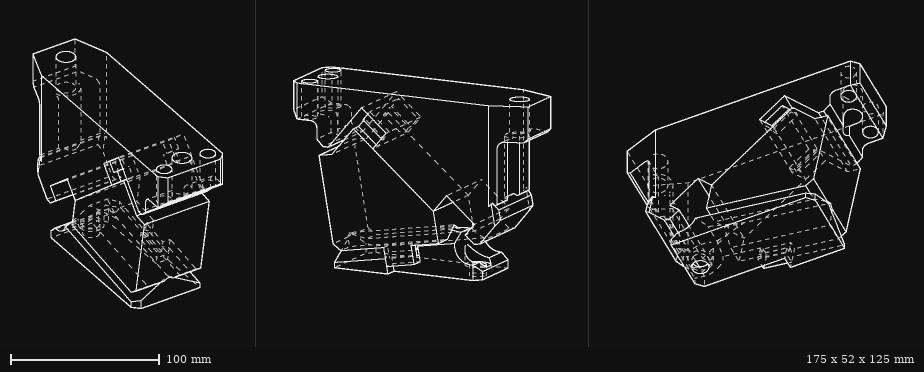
import cadquery as cq
import math

LENGTH = 175.0
WIDTH = 52.0
HEIGHT = 125.0
HALF_WIDTH = WIDTH / 2

TRAVEL_ANGLE = 40.0
RAMP_ANGLE = -10.0
RIDGE_ANGLE = 30.0

SEAT_START = (67.0, 47.2)
SEAT_LENGTH = 59.7
SLOT_DEPTH = 15.5
NOTCH_END = 83.8
SOCKET_LENGTH = 27.3
CLAW_DROP = 10.7
CLAW_REACH = 39.0
CLAW_CHAMFER = (2.6, 3.3)
FLANGE_BOTTOM = 100.0
FLANGE_CHAMFER_LEFT = 2.8
CORNER_CHAMFER = 4.9
INNER_FILLET = 4.4
LEG_RIGHT = 155.0
LEG_BOTTOM = 83.0
LEG_CHAMFER = 4.7
NECK_LEFT = 19.8
NECK_BOTTOM = 56.7
NECK_ROOT_Z = 55.8
TAPER_LENGTH = 25.2
TAPER_DEPTH = 9.1
NOSE_BOTTOM = (17.2, 46.2)
NOSE_TOP = (18.4, 53.2)
NOSE_PEAK_X = 22.8
NOSE_PEAK_Z = NOSE_TOP[1] + NOSE_PEAK_X - NOSE_TOP[0]
NOSE_HEEL_Z = NOSE_PEAK_Z - (TAPER_LENGTH - NOSE_PEAK_X)
NOSE_CHAMFER = 1.8
NOSE_CHAMFER_LENGTH = 4.2
BOLT_DIAMETER = 13.3
LEFT_BOLT_X = 15.0
RIGHT_BOLT_X = 159.8
BOLT_RELIEF_DIAMETER = 20.1
DOWEL_DIAMETER = 10.5
DOWEL_X = 164.8
DOWEL_Y = 17.5

SLIDE_FRONT = 22.2
SLIDE_END = 78.8
SLIDE_LENGTH = 80.0
SLIDE_HEIGHT = 66.2
SLIDE_CHAMFER = 5.0
TAB_NECK_HEIGHT = 7.5
TAB_NECK_INSET = 7.5
TAB_HEAD_INSET = 4.7

RIDGE_EDGE = -7.7
RIDGE_APEX = RIDGE_EDGE + HALF_WIDTH * math.tan(math.radians(RIDGE_ANGLE))
KEEPER_START = 21.0
KEEPER_END = 42.0
KEEPER_BOTTOM = -13.1
RIB_BOTTOM = -8.5
RIB_Y = 20.1
RIB_TOP = RIDGE_APEX - RIB_Y * math.tan(math.radians(RIDGE_ANGLE))

BASE_LEFT = 37.0
BASE_RIGHT = 141.8
BASE_TOP = 30.0
BASE_STEP_X = 55.6
BASE_STEP_Z = 10.7
BASE_STEP_RADIUS = 12.5
RELIEF_Y = 16.8
BASE_SCREW_X = 46.5
BASE_SCREW_DIAMETER = 11.5
BASE_BORE_DIAMETER = 17.5
BASE_BORE_FLOOR = 7.0

OVERSHOOT = 17.5
RAMP_TOOL_START = -35.0
RAMP_TOOL_END = SLIDE_LENGTH + OVERSHOOT


def frame_point(origin, angle, along, up):
    """XZ point at (along, up) in a frame turned by angle degrees about the Y axis."""
    cos_a = math.cos(math.radians(angle))
    sin_a = math.sin(math.radians(angle))
    return origin[0] + along * cos_a - up * sin_a, origin[1] + along * sin_a + up * cos_a


def on_travel(along, up):
    """XZ point along the slide's travel from the seat's lower end, and above the seat."""
    return frame_point(SEAT_START, TRAVEL_ANGLE, along, up)


RAMP_START = frame_point(SEAT_START, RAMP_ANGLE, 0, -SLIDE_FRONT)


def on_ramp(along, up):
    """XZ point along the ramp from the slide's front, and above its underside."""
    return frame_point(RAMP_START, RAMP_ANGLE, along, up)


def prism(points, y_low=-HALF_WIDTH, y_high=HALF_WIDTH):
    """XZ outline extruded between two Y positions."""
    return cq.Workplane("XZ", origin=(0, y_high, 0)).polyline(points).close().extrude(y_high - y_low)


def ramp_block(start, end, low, high, y_low, y_high):
    """Block lined up with the ramp, given by its limits along it, above it and in Y."""
    corners = [(start, low), (end, low), (end, high), (start, high)]
    return prism([on_ramp(*corner) for corner in corners], y_low, y_high)


def plan_section(origin, angle, up):
    """Workplane along the frame direction: local x runs along it, local y along +Y, extrusion up."""
    x, z = frame_point(origin, angle, 0, up)
    turn = math.radians(angle)
    direction = (math.cos(turn), 0, math.sin(turn))
    normal = (-math.sin(turn), 0, math.cos(turn))
    return cq.Workplane(cq.Plane(origin=(x, 0, z), xDir=direction, normal=normal))


def cross_section(origin, angle, along):
    """Workplane across the frame direction: local x runs along +Y, local y runs up."""
    x, z = frame_point(origin, angle, along, 0)
    direction = (math.cos(math.radians(angle)), 0, math.sin(math.radians(angle)))
    return cq.Workplane(cq.Plane(origin=(x, 0, z), xDir=(0, 1, 0), normal=direction))


def upright_cylinder(x, y, diameter, z_low, z_high):
    return cq.Workplane("XY", origin=(x, y, z_low)).circle(diameter / 2).extrude(z_high - z_low)


def ridge_prism():
    """Triangular ridge along the ramp, shared by the base and the groove under the slide."""
    outline = [(-HALF_WIDTH, RIDGE_EDGE), (0, RIDGE_APEX), (HALF_WIDTH, RIDGE_EDGE)]
    plane = cross_section(RAMP_START, RAMP_ANGLE, RAMP_TOOL_START)
    return plane.polyline(outline).close().extrude(RAMP_TOOL_END - RAMP_TOOL_START)


def holder_body():
    """Flange and body: side outline, trimmed to the tapered plan."""
    leg_left = on_travel(NOTCH_END, 0)
    leg_slope = math.tan(math.radians(90 - TRAVEL_ANGLE))
    leg_left_x = leg_left[0] + (leg_left[1] - LEG_BOTTOM) / leg_slope
    fillet_mid = INNER_FILLET * (1 - math.sqrt(0.5))
    outline = (
        cq.Workplane("XZ", origin=(0, HALF_WIDTH, 0))
        .moveTo(0, HEIGHT)
        .lineTo(LENGTH, HEIGHT)
        .lineTo(LENGTH, FLANGE_BOTTOM + CORNER_CHAMFER)
        .lineTo(LENGTH - CORNER_CHAMFER, FLANGE_BOTTOM)
        .lineTo(LEG_RIGHT + INNER_FILLET, FLANGE_BOTTOM)
        .threePointArc(
            (LEG_RIGHT + fillet_mid, FLANGE_BOTTOM - fillet_mid),
            (LEG_RIGHT, FLANGE_BOTTOM - INNER_FILLET),
        )
        .lineTo(LEG_RIGHT, LEG_BOTTOM + LEG_CHAMFER)
        .lineTo(LEG_RIGHT - LEG_CHAMFER, LEG_BOTTOM)
        .lineTo(leg_left_x, LEG_BOTTOM)
        .lineTo(*on_travel(NOTCH_END, SLOT_DEPTH))
        .lineTo(*on_travel(SEAT_LENGTH, SLOT_DEPTH))
        .lineTo(*on_travel(SEAT_LENGTH, 0))
        .lineTo(*on_travel(0, 0))
        .lineTo(*on_travel(0, SLOT_DEPTH))
        .lineTo(TAPER_LENGTH, NOSE_HEEL_Z)
        .lineTo(NOSE_PEAK_X - (NOSE_PEAK_Z - NECK_ROOT_Z), NECK_ROOT_Z)
        .lineTo(NECK_LEFT, NECK_BOTTOM)
        .lineTo(NECK_LEFT, FLANGE_BOTTOM - INNER_FILLET)
        .threePointArc(
            (NECK_LEFT - fillet_mid, FLANGE_BOTTOM - fillet_mid),
            (NECK_LEFT - INNER_FILLET, FLANGE_BOTTOM),
        )
        .lineTo(FLANGE_CHAMFER_LEFT, FLANGE_BOTTOM)
        .lineTo(0, FLANGE_BOTTOM + FLANGE_CHAMFER_LEFT)
        .close()
        .extrude(WIDTH)
    )
    plan = [
        (0, HALF_WIDTH - TAPER_DEPTH),
        (TAPER_LENGTH, HALF_WIDTH),
        (LENGTH - CORNER_CHAMFER, HALF_WIDTH),
        (LENGTH, HALF_WIDTH - CORNER_CHAMFER),
    ]
    plan += [(x, -y) for x, y in reversed(plan)]
    return outline.intersect(cq.Workplane("XY").polyline(plan).close().extrude(HEIGHT))


def holder_claw():
    """Claw under the holder with its socket lip, ridge-shaped shoulder and chamfered nose."""
    lip = SLOT_DEPTH - CLAW_DROP
    claw = prism([
        NOSE_BOTTOM,
        NOSE_TOP,
        (NOSE_PEAK_X, NOSE_PEAK_Z),
        (TAPER_LENGTH, NOSE_HEEL_Z),
        on_travel(0, SLOT_DEPTH),
        on_travel(-SOCKET_LENGTH, SLOT_DEPTH),
        on_travel(-SOCKET_LENGTH, lip),
        on_travel(CLAW_CHAMFER[0] - CLAW_REACH, lip),
        on_travel(-CLAW_REACH, lip + CLAW_CHAMFER[1]),
    ])
    lean = math.degrees(math.atan2(NOSE_TOP[0] - NOSE_BOTTOM[0], NOSE_TOP[1] - NOSE_BOTTOM[1]))
    plane = plan_section(NOSE_BOTTOM, -lean, -OVERSHOOT)
    cutter_height = NOSE_PEAK_Z - NOSE_BOTTOM[1] + 2 * OVERSHOOT
    for side in (-1, 1):
        corner = [
            (0, side * (HALF_WIDTH - NOSE_CHAMFER)),
            (NOSE_CHAMFER_LENGTH, side * HALF_WIDTH),
            (0, side * HALF_WIDTH),
        ]
        claw = claw.cut(plane.polyline(corner).close().extrude(cutter_height))
    return claw


def make_holder():
    """Holder with bolt and dowel holes, and clearance for the bolt on the left."""
    body = holder_body()
    drill_end = FLANGE_BOTTOM - OVERSHOOT
    for bolt_x in (LEFT_BOLT_X, RIGHT_BOLT_X):
        body = body.cut(upright_cylinder(bolt_x, 0, BOLT_DIAMETER, drill_end, HEIGHT))
    for dowel_y in (-DOWEL_Y, DOWEL_Y):
        body = body.cut(upright_cylinder(DOWEL_X, dowel_y, DOWEL_DIAMETER, drill_end, HEIGHT))
    body = body.cut(upright_cylinder(LEFT_BOLT_X, 0, BOLT_RELIEF_DIAMETER, 0, FLANGE_BOTTOM))
    return body.union(holder_claw())


def slide_tab():
    """T-shaped tab that stands in the holder's notch."""
    neck = HALF_WIDTH - TAB_NECK_INSET
    head = HALF_WIDTH - TAB_HEAD_INSET
    half = [(neck, 0), (neck, TAB_NECK_HEIGHT), (head, TAB_NECK_HEIGHT), (head, SLOT_DEPTH)]
    outline = half + [(-y, up) for y, up in reversed(half)]
    plane = cross_section(SEAT_START, TRAVEL_ANGLE, SEAT_LENGTH)
    return plane.polyline(outline).close().extrude(SLIDE_END - SEAT_LENGTH)


def keeper():
    """Hook on the +Y side that reaches under the base's rib."""
    hook = ramp_block(KEEPER_START, KEEPER_END, KEEPER_BOTTOM, 0, RELIEF_Y, HALF_WIDTH)
    rib_slot = ramp_block(KEEPER_START, KEEPER_END, RIB_BOTTOM, 0, RELIEF_Y, RIB_Y)
    return hook.cut(rib_slot)


def make_slide():
    """Slide block with its ramp groove, tab and keeper."""
    turn = math.radians(TRAVEL_ANGLE - RAMP_ANGLE)
    end_drop = (SLIDE_HEIGHT - SLIDE_FRONT - SLIDE_END * math.sin(turn)) / math.cos(turn)
    block = prism([
        on_travel(0, 0),
        on_ramp(0, 0),
        on_ramp(SLIDE_LENGTH - SLIDE_CHAMFER, 0),
        on_ramp(SLIDE_LENGTH, SLIDE_CHAMFER),
        on_ramp(SLIDE_LENGTH, SLIDE_HEIGHT),
        on_travel(SLIDE_END, end_drop),
        on_travel(SLIDE_END, 0),
    ])
    grooved = block.cut(ridge_prism())
    return grooved.union(slide_tab()).union(keeper())


def base_blank():
    """Stepped side outline under the ramp ridge, flat-topped at the front."""
    arc_x = BASE_STEP_X - BASE_STEP_RADIUS
    arc_z = BASE_STEP_Z + BASE_STEP_RADIUS
    arc_mid = BASE_STEP_RADIUS * math.sqrt(0.5)
    blank = (
        cq.Workplane("XZ", origin=(0, HALF_WIDTH, 0))
        .moveTo(BASE_LEFT, 0)
        .lineTo(BASE_RIGHT, 0)
        .lineTo(BASE_RIGHT, BASE_TOP)
        .lineTo(BASE_STEP_X, BASE_TOP)
        .lineTo(BASE_STEP_X, arc_z)
        .threePointArc((arc_x + arc_mid, arc_z - arc_mid), (arc_x, BASE_STEP_Z))
        .lineTo(BASE_LEFT + CORNER_CHAMFER, BASE_STEP_Z)
        .lineTo(BASE_LEFT, BASE_STEP_Z - CORNER_CHAMFER)
        .close()
        .extrude(WIDTH)
    )
    below_ridge = ramp_block(
        RAMP_TOOL_START, RAMP_TOOL_END, RIDGE_EDGE - HEIGHT, RIDGE_EDGE, -HALF_WIDTH, HALF_WIDTH
    )
    return blank.intersect(below_ridge.union(ridge_prism()))


def relief_cutter():
    """Space beside the base for the keeper, less the rib that the keeper hooks under."""
    space = ramp_block(RAMP_TOOL_START, KEEPER_END, -HEIGHT, HEIGHT, RELIEF_Y, HALF_WIDTH)
    rib = ramp_block(KEEPER_START, KEEPER_END, RIB_BOTTOM, HEIGHT, RELIEF_Y, RIB_Y)
    rib_depth = RIB_Y - RELIEF_Y
    lead_in = [(KEEPER_START, RELIEF_Y), (KEEPER_START + rib_depth, RIB_Y), (KEEPER_START, RIB_Y)]
    plane = plan_section(RAMP_START, RAMP_ANGLE, RIB_BOTTOM)
    wedge = plane.polyline(lead_in).close().extrude(RIB_TOP - RIB_BOTTOM)
    return space.cut(rib.cut(wedge))


def corner_cutter(x, y, x_side, y_side):
    """Upright wedge that chamfers the corner at (x, y)."""
    corner = [(x, y), (x - x_side * CORNER_CHAMFER, y), (x, y - y_side * CORNER_CHAMFER)]
    return cq.Workplane("XY").polyline(corner).close().extrude(HEIGHT)


def make_base():
    """Base with its keeper relief, chamfered corners and counterbored screw hole."""
    base = base_blank().cut(relief_cutter())
    base = base.cut(corner_cutter(BASE_LEFT, RELIEF_Y, -1, 1))
    base = base.cut(corner_cutter(BASE_RIGHT, -HALF_WIDTH, 1, -1))
    base = base.cut(upright_cylinder(BASE_SCREW_X, 0, BASE_SCREW_DIAMETER, 0, BASE_BORE_FLOOR))
    return base.cut(upright_cylinder(BASE_SCREW_X, 0, BASE_BORE_DIAMETER, BASE_BORE_FLOOR, BASE_TOP))


holder = make_holder()
slide = make_slide()
base = make_base()

result = cq.Compound.makeCompound([holder.solids().val(), slide.solids().val(), base.solids().val()])